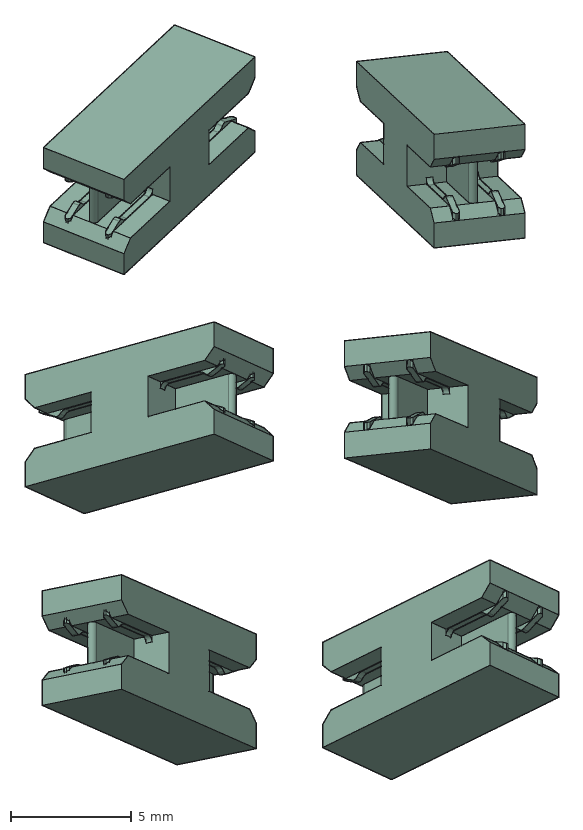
import cadquery as cq
import math

WIDTH = 4.0
LENGTH = 10.0
HEIGHT = 5.0
SLOT_HALF_HEIGHT = 0.9
WEB_HALF = 1.5
MOUTH_CHAMFER = 0.5

RIB_WIDTH = 0.4
RIB_X = 0.06
RIB_END = LENGTH / 2 - MOUTH_CHAMFER

PLATE_THICKNESS = 0.3
PLATE_X = 1.0
PLATE_HALF_HEIGHT = SLOT_HALF_HEIGHT + MOUTH_CHAMFER
BACK_TIP_Y = LENGTH / 2
FRONT_TIP_Y = -4.75
TIP_BEVEL = 0.1
BAR_SIZE = 0.3

FACE_PROUD = 0.03
FLAT_Z = SLOT_HALF_HEIGHT - FACE_PROUD
ROOT_RADIUS = 0.25
CORE_HALF = 1.3
CREST_Y = 3.97
CREST_Z = 0.65
CREST_RADIUS = 0.2
DIP_RADIUS = 0.4
LEAD_IN_ANGLE = 24.0
OVERSHOOT = 0.5


def on_circle(center, radius, angle):
    """Point on a circle, with the angle in degrees."""
    turn = math.radians(angle)
    return (center[0] + radius * math.cos(turn), center[1] + radius * math.sin(turn))


def slot_cutter():
    """Slot at the +Y end, with its flared mouth."""
    end = LENGTH / 2 + OVERSHOOT
    flare = SLOT_HALF_HEIGHT + MOUTH_CHAMFER + OVERSHOOT
    return (
        cq.Workplane("YZ")
        .polyline([
            (WEB_HALF, -SLOT_HALF_HEIGHT),
            (RIB_END, -SLOT_HALF_HEIGHT),
            (end, -flare),
            (end, flare),
            (RIB_END, SLOT_HALF_HEIGHT),
            (WEB_HALF, SLOT_HALF_HEIGHT),
        ])
        .close()
        .extrude(WIDTH / 2, both=True)
    )


def rib():
    """Rib in the +Y slot, from the web to its rounded end."""
    radius = RIB_WIDTH / 2
    round_y = RIB_END - radius
    return (
        cq.Workplane("XY")
        .workplane(offset=-SLOT_HALF_HEIGHT)
        .moveTo(RIB_X - radius, WEB_HALF)
        .lineTo(RIB_X - radius, round_y)
        .threePointArc((RIB_X, RIB_END), (RIB_X + radius, round_y))
        .lineTo(RIB_X + radius, WEB_HALF)
        .close()
        .extrude(2 * SLOT_HALF_HEIGHT)
    )


def contact_opening():
    """Space between the upper and lower contact arms at the +Y end."""
    root_center = (WEB_HALF + ROOT_RADIUS, FLAT_Z - ROOT_RADIUS)
    crest_center = (CREST_Y, CREST_Z + CREST_RADIUS)

    dip_z = FLAT_Z - DIP_RADIUS
    rise = crest_center[1] - dip_z
    run = math.sqrt((CREST_RADIUS + DIP_RADIUS) ** 2 - rise ** 2)
    dip_center = (CREST_Y - run, dip_z)
    join_angle = math.degrees(math.atan2(rise, run))

    lead_in_start = on_circle(crest_center, CREST_RADIUS, LEAD_IN_ANGLE - 90)
    end_y = LENGTH / 2 + OVERSHOOT
    end_z = lead_in_start[1] + (end_y - lead_in_start[0]) * math.tan(math.radians(LEAD_IN_ANGLE))

    upper_half = (
        cq.Workplane("YZ")
        .moveTo(CORE_HALF, 0)
        .lineTo(CORE_HALF, root_center[1])
        .lineTo(WEB_HALF, root_center[1])
        .threePointArc(on_circle(root_center, ROOT_RADIUS, 135), (root_center[0], FLAT_Z))
        .lineTo(dip_center[0], FLAT_Z)
        .threePointArc(
            on_circle(dip_center, DIP_RADIUS, (90 + join_angle) / 2),
            on_circle(dip_center, DIP_RADIUS, join_angle),
        )
        .threePointArc((CREST_Y, CREST_Z), lead_in_start)
        .lineTo(end_y, end_z)
        .lineTo(end_y, 0)
        .close()
        .extrude(PLATE_THICKNESS / 2, both=True)
    )
    return upper_half.union(upper_half.mirror("XY"))


def contact_plate(x):
    """Upright plate with a pair of sprung arms at each end."""
    plate_length = BACK_TIP_Y - FRONT_TIP_Y
    plate_middle = (BACK_TIP_Y + FRONT_TIP_Y) / 2
    opening = contact_opening()
    plate = (
        cq.Workplane("XY")
        .box(PLATE_THICKNESS, plate_length, 2 * PLATE_HALF_HEIGHT)
        .edges("|Z")
        .chamfer(TIP_BEVEL)
        .translate((0, plate_middle, 0))
        .cut(opening)
        .cut(opening.mirror("XZ"))
    )
    return plate.translate((x, 0, 0))


def make_contact():
    contact = cq.Workplane("XY").box(2 * PLATE_X, BAR_SIZE, BAR_SIZE)
    for x in (-PLATE_X, PLATE_X):
        contact = contact.union(contact_plate(x))
    return contact


def make_housing(contact):
    """Block with a divided slot at each end and recesses that fit the contact."""
    slot = slot_cutter().cut(rib())
    block = cq.Workplane("XY").box(WIDTH, LENGTH, HEIGHT)
    return block.cut(slot).cut(slot.mirror("XZ")).cut(contact)


contact = make_contact()
housing = make_housing(contact)

result = cq.Compound.makeCompound([housing.solids().val(), contact.solids().val()])